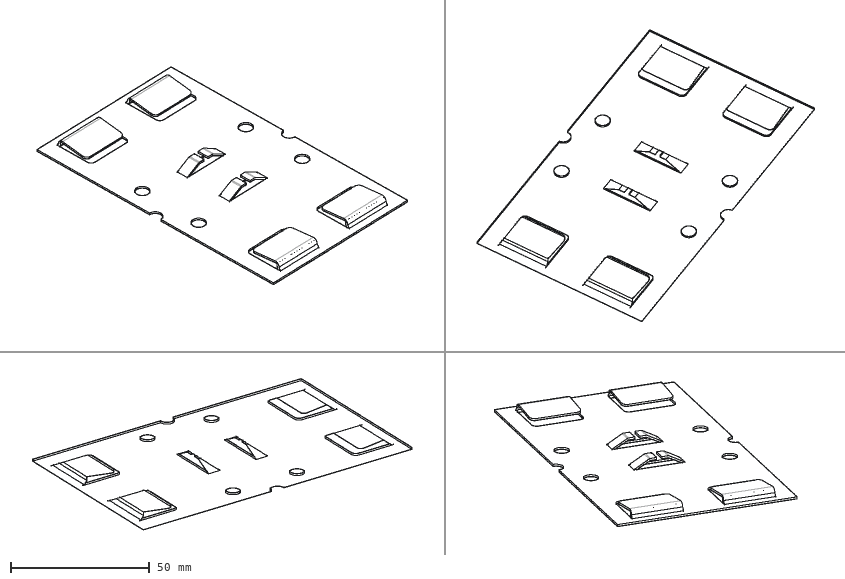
import cadquery as cq
import math

length = 118.0
width = 70.0
height = 4.2
thickness = 0.8
cut_clearance = 0.1

hole_diameter = 5.5
hole_x = 14.0
hole_y = 27.0

tongue_width = 20.0
tongue_y = 17.9
tongue_tip_x = 41.1
tongue_root_x = 55.8
window_inner_x = 38.6
corner_radius = 2.0
foot_top_x = 55.0
foot_top_z = 2.0
foot_inner_x = 53.9
foot_inner_z = 1.5
bend_end_x = 53.0
left_bend_z = 3.7
left_tip_z = 2.0
right_bend_z = 3.9
right_tip_z = 2.7

strap_x = 10.5
strap_width = 5.0
strap_root_y = 9.9
strap_bend_y = 3.7
strap_bend_radius = 1.0
strap_gap = 2.0


def make_plate():
    """Flat plate with four holes and a half-round notch in each long edge."""
    notches = [(0, -width / 2), (0, width / 2)]
    holes = [(x, y) for x in (-hole_x, hole_x) for y in (-hole_y, hole_y)]
    cutters = cq.Workplane("XY").pushPoints(notches + holes).circle(hole_diameter / 2).extrude(thickness)
    plate = cq.Workplane("XY").box(length, width, thickness, centered=(True, True, False))
    return plate.cut(cutters)


def rounded_block(inner_x, outer_x, block_width, depth):
    """Block on the +X side, with its two inner corners rounded."""
    block = cq.Workplane("XY").box(outer_x - inner_x, block_width, depth, centered=(False, True, False))
    return block.edges("|Z and <X").fillet(corner_radius).translate((inner_x, 0, 0))


def make_tongue(bend_z, tip_z):
    """Tongue on the +X side: a leaning foot, a round bend and a leaf falling towards the tip."""
    leaf_angle = math.atan2(bend_z - tip_z, bend_end_x - tongue_tip_x)
    underside_shift_x = thickness * math.sin(leaf_angle)
    underside_shift_z = thickness * math.cos(leaf_angle)
    tip_under_x = tongue_tip_x + underside_shift_x
    tip_under_z = tip_z - underside_shift_z
    corner_z = tip_under_z + (foot_inner_x - tip_under_x) * math.tan(leaf_angle)

    foot_lean = (tongue_root_x - foot_top_x) / (foot_top_z - thickness)
    inner_root_x = foot_inner_x + foot_lean * foot_inner_z

    profile = (
        cq.Workplane("XZ")
        .moveTo(tongue_tip_x, tip_z)
        .lineTo(bend_end_x, bend_z)
        .tangentArcPoint((foot_top_x, foot_top_z), relative=False)
        .lineTo(tongue_root_x, thickness)
        .lineTo(tongue_root_x, 0)
        .lineTo(inner_root_x, 0)
        .lineTo(foot_inner_x, foot_inner_z)
        .lineTo(foot_inner_x, corner_z)
        .lineTo(tip_under_x, tip_under_z)
        .close()
    )
    tongue = profile.extrude(tongue_width / 2, both=True)
    return tongue.intersect(rounded_block(tongue_tip_x, tongue_root_x, tongue_width, height))


def make_strap():
    """Strap rising from both ends of its slot to a flat top, open in the middle."""
    slope = math.atan2(height - thickness, strap_root_y - strap_bend_y)
    inner_bend_y = strap_bend_y - thickness * math.tan(slope / 2)
    half = (
        cq.Workplane("YZ")
        .polyline(
            [
                (strap_gap / 2, height),
                (strap_bend_y, height),
                (strap_root_y, thickness),
                (strap_root_y, 0),
                (inner_bend_y, height - thickness),
                (strap_gap / 2, height - thickness),
            ]
        )
        .close()
        .extrude(strap_width / 2, both=True)
    )
    outer_bend = cq.selectors.NearestToPointSelector((0, strap_bend_y, height))
    half = half.edges(outer_bend).fillet(strap_bend_radius)
    return half.union(half.mirror("XZ"))


result = make_plate()

window_width = tongue_width + cut_clearance
window = rounded_block(window_inner_x, tongue_root_x, window_width, thickness)
left_tongue = make_tongue(left_bend_z, left_tip_z).mirror("YZ")
right_tongue = make_tongue(right_bend_z, right_tip_z)
for y in (-tongue_y, tongue_y):
    for opening, tongue in ((window.mirror("YZ"), left_tongue), (window, right_tongue)):
        result = result.cut(opening.translate((0, y, 0)))
        result = result.union(tongue.translate((0, y, 0)))

strap = make_strap()
slot_width = strap_width + cut_clearance
strap_slot = cq.Workplane("XY").box(slot_width, 2 * strap_root_y, thickness, centered=(True, True, False))
for x in (-strap_x, strap_x):
    result = result.cut(strap_slot.translate((x, 0, 0)))
    result = result.union(strap.translate((x, 0, 0)))